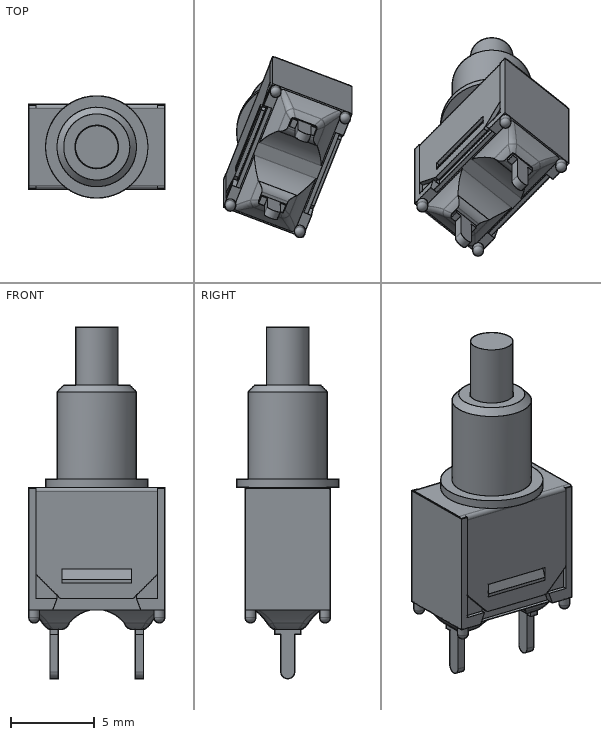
import cadquery as cq
import math


case_length = 8.12
case_width = 5.1
body_height = 7.33
flap_sheet = 0.25
top_sheet = 0.073
side_wall = 0.45
lip_height = 0.7
flap_chamfer = 1.45
case_top = body_height - top_sheet
core_width = case_width - 2 * flap_sheet
flap_length = case_length - 2 * side_wall

latch_length = 4.15
latch_bottom = 1.64
latch_ramp_start = 1.83
latch_top = 2.45

notch_half_top = 2.37
notch_half_bottom = 2.62
notch_depth = 0.5
notch_floor = 0.02
notch_top = 1.25

flange_diameter = 6.1
flange_thickness = 0.5
bushing_diameter = 4.75
bushing_length = 5.6
bushing_chamfer = 0.4
bore_diameter = 2.6
plunger_diameter = 2.55
plunger_reach = 3.46
flange_top = body_height + flange_thickness
bushing_top = flange_top + bushing_length
plunger_top = bushing_top + plunger_reach

overall_height = 21.0
pin_pitch = 5.08
pin_thickness = 0.5
pin_width = 0.85
shoulder_width = 1.57
shoulder_bottom = -1.45
pin_bottom = plunger_top - overall_height

peg_diameter = 0.65
peg_straight = 0.45
peg_radius = peg_diameter / 2

mound_height = 1.15
mound_bend = 0.75
mound_margin = 0.05
lower_run = 0.42
upper_run = 0.71
outer_upper_sag = 0.052
outer_lower_sag = 0.031
mound_corner_radius = 0.42
arch_half_top = 0.42
arch_half_bend = 1.64
arch_half_bottom = 2.1
arch_upper_sag = 0.115
arch_lower_sag = 0.095
mound_end = pin_pitch / 2 + pin_thickness / 2 + mound_margin
mound_side = shoulder_width / 2 + mound_margin


def block(length, width, bottom, top):
    """Box centred on the Z axis between two heights."""
    return cq.Workplane("XY").workplane(offset=bottom).rect(length, width).extrude(top - bottom)


def cylinder(diameter, bottom, top):
    """Round bar on the Z axis between two heights."""
    return cq.Workplane("XY").workplane(offset=bottom).circle(diameter / 2).extrude(top - bottom)


def both_sides(shape):
    """The shape together with its mirror image on the other side of the XZ plane."""
    return shape.union(shape.mirror("XZ"))


def arc_by_sag(outline, start, end, sag):
    """Add an arc from start to end that bows to the left of the chord by sag (right if negative)."""
    run = end[0] - start[0]
    rise = end[1] - start[1]
    chord = math.hypot(run, rise)
    middle = (
        (start[0] + end[0]) / 2 - sag * rise / chord,
        (start[1] + end[1]) / 2 + sag * run / chord,
    )
    return outline.threePointArc(middle, end)


def mound_section(plane, half_bottom, thickness):
    """Symmetric trapezoid with S-curved flanks below Z = 0, extruded both ways from the plane."""
    half_bend = half_bottom + lower_run
    half_top = half_bend + upper_run
    outline = cq.Workplane(plane).moveTo(-half_top, 0)
    outline = arc_by_sag(outline, (-half_top, 0), (-half_bend, -mound_bend), outer_upper_sag)
    outline = arc_by_sag(outline, (-half_bend, -mound_bend), (-half_bottom, -mound_height), -outer_lower_sag)
    outline = outline.lineTo(half_bottom, -mound_height)
    outline = arc_by_sag(outline, (half_bottom, -mound_height), (half_bend, -mound_bend), -outer_lower_sag)
    outline = arc_by_sag(outline, (half_bend, -mound_bend), (half_top, 0), outer_upper_sag)
    return outline.close().extrude(thickness / 2, both=True)


def mound_arch():
    """Cutter for the arch that separates the two sealing mounds."""
    bend_left = (-arch_half_bend, -mound_bend)
    bend_right = (arch_half_bend, -mound_bend)
    foot_left = (-arch_half_bottom, -mound_height)
    foot_right = (arch_half_bottom, -mound_height)
    outline = cq.Workplane("XZ").moveTo(*foot_left)
    outline = arc_by_sag(outline, foot_left, bend_left, -arch_lower_sag)
    outline = arc_by_sag(outline, bend_left, (-arch_half_top, 0), arch_upper_sag)
    outline = outline.lineTo(arch_half_top, 0)
    outline = arc_by_sag(outline, (arch_half_top, 0), bend_right, arch_upper_sag)
    outline = arc_by_sag(outline, bend_right, foot_right, -arch_lower_sag)
    return outline.close().extrude(case_width / 2, both=True)


def make_mounds():
    """The two sealing mounds, with rounded outer corners and an arch between them."""
    along = mound_section("XZ", mound_end, case_width)
    across = mound_section("YZ", mound_side, case_length)
    mounds = along.intersect(across)
    corner_edges = mounds.edges("not(#X or #Y or #Z)")
    mounds = corner_edges.fillet(mound_corner_radius)
    return mounds.cut(mound_arch())


def make_pegs():
    """Four round-tipped standoffs under the corners of the case."""
    spots = [
        (side_x * (case_length / 2 - peg_radius), side_y * (case_width / 2 - peg_radius))
        for side_x in (-1, 1)
        for side_y in (-1, 1)
    ]
    shanks = cq.Workplane("XY").pushPoints(spots).circle(peg_radius).extrude(-peg_straight)
    tips = cq.Workplane("XY").workplane(offset=-peg_straight).pushPoints(spots).sphere(peg_radius)
    return shanks.union(tips)


def make_side_walls():
    """Full-width end walls of the case that flank the bracket flaps."""
    return block(case_length, case_width, 0, case_top).cut(block(flap_length, case_width, 0, case_top))


def make_latches():
    """Ramps on the core that fill the windows of the flaps up to their outer face."""
    root = -core_width / 2
    face = -case_width / 2
    ramp = (
        cq.Workplane("YZ")
        .polyline([(root, latch_bottom), (face, latch_bottom), (face, latch_ramp_start), (root, latch_top)])
        .close()
        .extrude(latch_length / 2, both=True)
    )
    return both_sides(ramp)


def make_notches():
    """Cutter for the lip notches, flared below the lip edge and straight above it."""
    outline = [
        (-notch_half_bottom, notch_floor),
        (notch_half_bottom, notch_floor),
        (notch_half_top, lip_height),
        (notch_half_top, notch_top),
        (-notch_half_top, notch_top),
        (-notch_half_top, lip_height),
    ]
    front = -case_width / 2
    cutter = cq.Workplane("XZ", origin=(0, front, 0)).polyline(outline).close().extrude(-notch_depth)
    opening = (
        cq.Workplane("XZ", origin=(0, front, 0))
        .polyline([(-notch_half_bottom, 0), (notch_half_bottom, 0), outline[1], outline[0]])
        .close()
        .extrude(-flap_sheet)
    )
    return both_sides(cutter.union(opening))


def make_pin(x):
    """Flat terminal with a wider shoulder and a round tip."""
    half = pin_width / 2
    shoulder_half = shoulder_width / 2
    return (
        cq.Workplane("YZ", origin=(x, 0, 0))
        .moveTo(-shoulder_half, 0)
        .lineTo(-shoulder_half, shoulder_bottom)
        .lineTo(-half, shoulder_bottom)
        .lineTo(-half, pin_bottom + half)
        .threePointArc((0, pin_bottom), (half, pin_bottom + half))
        .lineTo(half, shoulder_bottom)
        .lineTo(shoulder_half, shoulder_bottom)
        .lineTo(shoulder_half, 0)
        .close()
        .extrude(pin_thickness / 2, both=True)
    )


def make_case(pins):
    """Case with its sealing mounds and pegs, hollowed only where the pins sit."""
    core = block(case_length, core_width, 0, case_top)
    lip = block(case_length, case_width, 0, lip_height)
    case = core.union(lip).union(make_side_walls()).union(make_latches())
    case = case.cut(make_notches())
    case = case.union(make_mounds()).union(make_pegs())
    for pin in pins:
        case = case.cut(pin)
    return case


def make_bracket():
    """Folded sheet over the case, in one piece with the bushing and its flange."""
    sheet_metal = block(case_length, case_width, lip_height, body_height)
    sheet_metal = sheet_metal.edges("|X and >Z").fillet(flap_sheet)
    sheet_metal = sheet_metal.cut(block(flap_length, core_width, 0, case_top)).cut(make_side_walls())
    sheet_metal = sheet_metal.edges("|Y and <Z").chamfer(flap_chamfer)
    windows = block(latch_length, case_width, latch_bottom, latch_top)
    sheet_metal = sheet_metal.cut(windows)
    flange = cylinder(flange_diameter, body_height, flange_top)
    bushing = cylinder(bushing_diameter, flange_top, bushing_top).faces(">Z").chamfer(bushing_chamfer)
    bore = cylinder(bore_diameter, case_top, bushing_top)
    return sheet_metal.union(flange).union(bushing).cut(bore)


def make_plunger():
    """Plain round plunger that rests on the case and runs up through the bore."""
    return cylinder(plunger_diameter, case_top, plunger_top)


pins = [make_pin(side * pin_pitch / 2) for side in (-1, 1)]
case = make_case(pins)
bracket = make_bracket()
plunger = make_plunger()

result = cq.Compound.makeCompound([case.val(), bracket.val(), plunger.val(), *[pin.val() for pin in pins]])